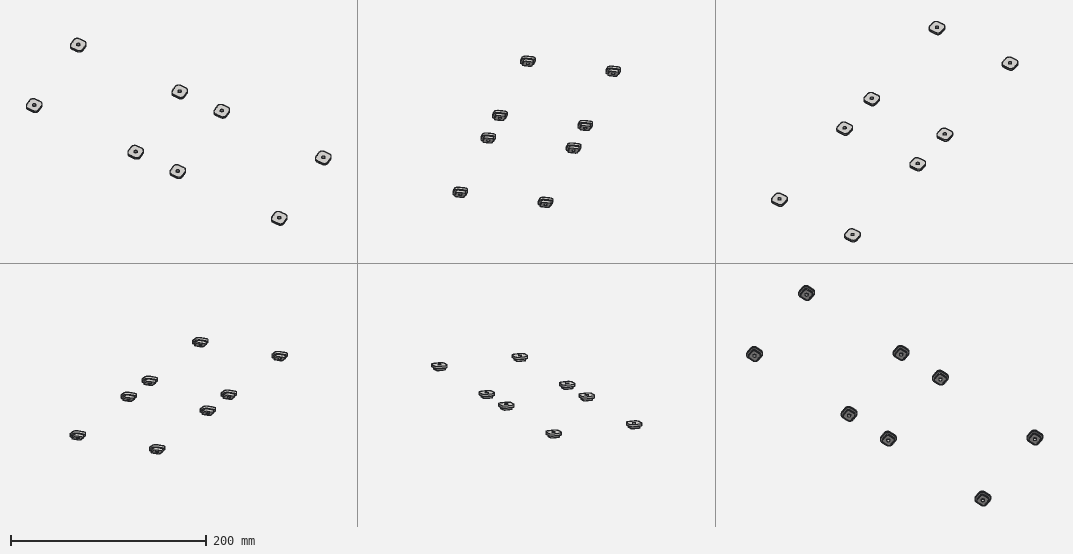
import cadquery as cq

TOTAL_LENGTH = 304.0
TOTAL_WIDTH = 104.0

FLANGE_SIDE = 14.0
FLANGE_THICKNESS = 2.5
BOSS_INSET = 2.0
BOSS_SIDE = FLANGE_SIDE - 2 * BOSS_INSET
BOSS_HEIGHT = 2.52
BOSS_CORNER_RADIUS = 2.0
FLANGE_CORNER_RADIUS = BOSS_CORNER_RADIUS + BOSS_INSET
HOLE_DIAMETER = 3.3

GROUP_PITCH_X = 120.0
OUTER_X = (TOTAL_LENGTH - FLANGE_SIDE) / 2
INNER_X = OUTER_X - GROUP_PITCH_X
ROW_Y = (TOTAL_WIDTH - FLANGE_SIDE) / 2
COLUMNS_X = (-OUTER_X, -INNER_X, INNER_X, OUTER_X)
ROWS_Y = (-ROW_Y, ROW_Y)


def rounded_square(side, corner_radius, height):
    """Square block standing on Z = 0 with rounded vertical edges."""
    block = cq.Workplane("XY").box(side, side, height, centered=(True, True, False))
    return block.edges("|Z").fillet(corner_radius)


def make_foot(x, y):
    """Stepped foot at (x, y), wide flange up, with a vertical through hole."""
    boss = rounded_square(BOSS_SIDE, BOSS_CORNER_RADIUS, BOSS_HEIGHT)
    flange = rounded_square(FLANGE_SIDE, FLANGE_CORNER_RADIUS, FLANGE_THICKNESS)
    foot = boss.union(flange.translate((0, 0, BOSS_HEIGHT)))
    foot = foot.faces(">Z").workplane().hole(HOLE_DIAMETER)
    return foot.translate((x, y, 0)).solids().val()


feet = [make_foot(x, y) for x in COLUMNS_X for y in ROWS_Y]

result = cq.Compound.makeCompound(feet)